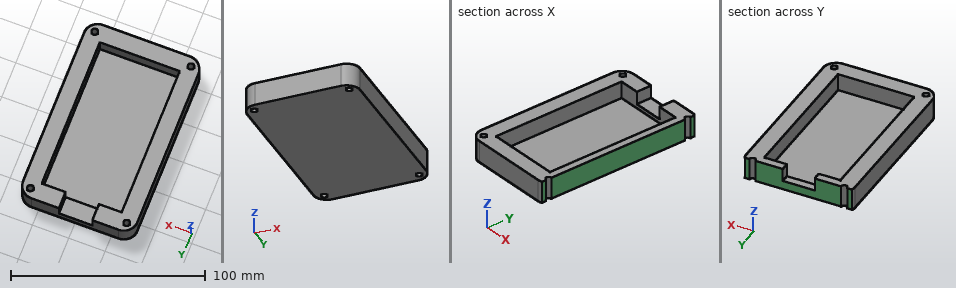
import cadquery as cq

width = 63.0
length = 102.0
height = 13.0
corner_radius = 7.5

pocket_width = 44.0
pocket_length = 83.0
pocket_depth = 10.0

notch_width = 18.4
notch_depth = 7.5
notch_center_x = -0.3

hole_diameter = 3.4
hole_inset = 5.0


def make_body():
    """Plain block with rounded vertical corners."""
    block = cq.Workplane("XY").box(width, length, height, centered=(True, True, False))
    return block.edges("|Z").fillet(corner_radius)


def cut_pocket(body):
    """Sink the central pocket from the top face."""
    top = cq.Workplane("XY").workplane(offset=height)
    return body.cut(top.rect(pocket_width, pocket_length).extrude(-pocket_depth))


def cut_notch(body):
    """Open the +Y wall down to a shelf above the pocket floor."""
    wall = (length - pocket_length) / 2
    notch_center_y = (length - wall) / 2
    top = cq.Workplane("XY").workplane(offset=height)
    notch = top.center(notch_center_x, notch_center_y).rect(notch_width, wall).extrude(-notch_depth)
    return body.cut(notch)


def cut_screw_holes(body):
    """Drill the four corner holes right through."""
    spacing_x = width - 2 * hole_inset
    spacing_y = length - 2 * hole_inset
    holes = (
        cq.Workplane("XY")
        .rarray(spacing_x, spacing_y, 2, 2)
        .circle(hole_diameter / 2)
        .extrude(height)
    )
    return body.cut(holes)


result = make_body()
result = cut_pocket(result)
result = cut_notch(result)
result = cut_screw_holes(result)